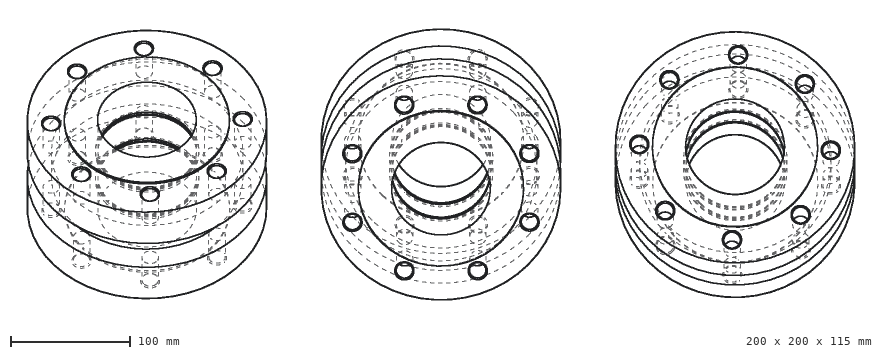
import cadquery as cq
import math

flange_diameter = 200.0
flange_thickness = 40.2
neck_diameter = 160.0
face_diameter = 138.0
face_height = 2.0
total_height = 115.0
bore_diameter = 82.5

groove_top = 19.0
groove_height = 3.8
seal_setback = 0.1

hole_count = 8
bolt_circle_diameter = 160.0
hole_diameter = 13.8
hole_mouth_diameter = 16.0
hole_depth = 30.0
drill_point_angle = 118.0

half_height = total_height / 2
flange_top = half_height - face_height
flange_bottom = flange_top - flange_thickness


def disc(diameter, bottom, top):
    """Solid cylinder on the Z axis between two heights."""
    return cq.Workplane("XY").workplane(offset=bottom).circle(diameter / 2).extrude(top - bottom)


def drilled_hole():
    """Chamfered blind hole with a conical end, opening at the upper flange surface."""
    radius = hole_diameter / 2
    mouth_radius = hole_mouth_diameter / 2
    wall_bottom = flange_top - hole_depth
    tip = wall_bottom - radius / math.tan(math.radians(drill_point_angle / 2))
    chamfer_bottom = flange_top - (mouth_radius - radius)
    return (
        cq.Workplane("XZ")
        .moveTo(0, tip)
        .lineTo(radius, wall_bottom)
        .lineTo(radius, chamfer_bottom)
        .lineTo(mouth_radius, flange_top)
        .lineTo(0, flange_top)
        .close()
        .revolve(360, (0, 0, 0), (0, 1, 0))
    )


def seal_groove():
    """Space left open in the upper groove, its outer wall bulging inward as the half round seal."""
    bore_radius = bore_diameter / 2
    groove_bottom = groove_top - groove_height
    seal_crest = bore_radius + seal_setback
    seal_axis = seal_crest + groove_height / 2
    return (
        cq.Workplane("XZ")
        .moveTo(0, groove_top)
        .lineTo(seal_axis, groove_top)
        .threePointArc((seal_crest, groove_top - groove_height / 2), (seal_axis, groove_bottom))
        .lineTo(0, groove_bottom)
        .close()
        .revolve(360, (0, 0, 0), (0, 1, 0))
    )


body = disc(face_diameter, -half_height, half_height)
body = body.union(disc(neck_diameter, -flange_bottom, flange_bottom))
body = body.union(disc(flange_diameter, flange_bottom, flange_top))
body = body.union(disc(flange_diameter, -flange_top, -flange_bottom))

body = body.cut(disc(bore_diameter, -half_height, half_height))
upper_groove = seal_groove()
body = body.cut(upper_groove).cut(upper_groove.mirror("XY"))

pitch_angle = 360 / hole_count
for index in range(hole_count):
    upper_hole = (
        drilled_hole()
        .translate((bolt_circle_diameter / 2, 0, 0))
        .rotate((0, 0, 0), (0, 0, 1), (index + 0.5) * pitch_angle)
    )
    body = body.cut(upper_hole).cut(upper_hole.mirror("XY"))

result = body